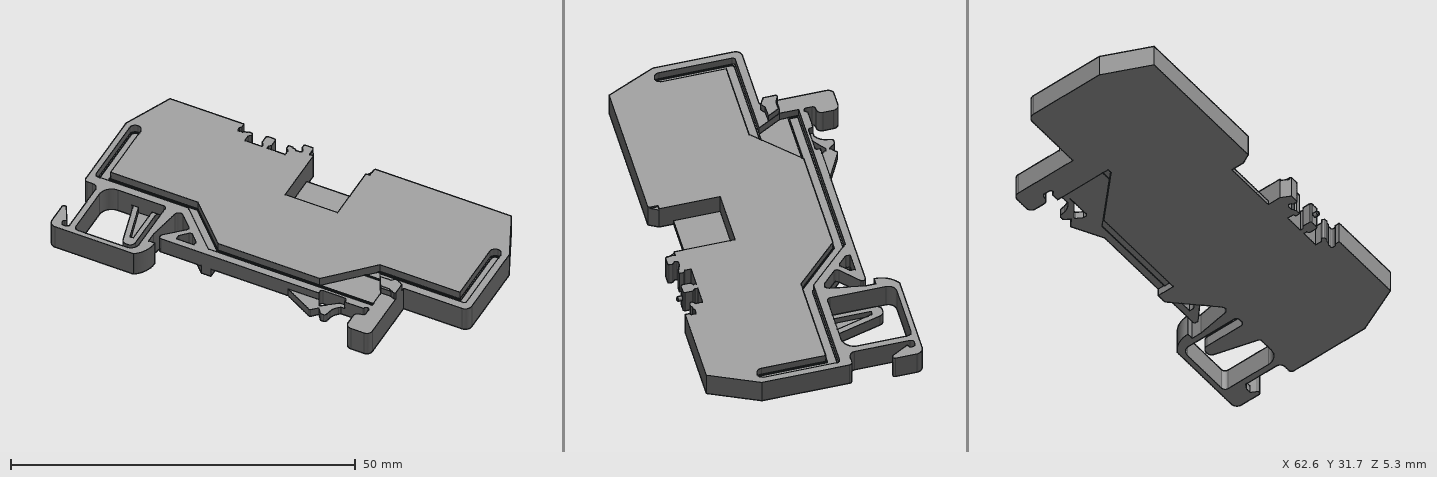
import cadquery as cq
import math


LENGTH = 62.6
HEIGHT = 31.65
TOTAL_Z = 5.3
BODY_Z = 4.1
THIN_BACK_Z = 1.45
THIN_FRONT_Z = 2.8
POCKET_Z = 2.7
GROOVE_Z = 2.65
RIB_Z = 1.32
SHELF_Z = 0.8
PRONG_Z = BODY_Z / 2
PRONG_FLOOR_Z = 1.0
TAB_BEVEL = 0.2
HOOK_WEB_Z = 1.4

OVERRUN = 1.0
OVERLAP = 0.1

BODY_LEFT = 0.45
SHOULDER_Y = 24.2
CORNER_RUN = 3.4
FLANGE_Y = 11.0
BAR_Y = 4.6
FOOT_WALL_X = 2.75
POST_LEFT = 49.55
POST_RIGHT = 52.05

GROOVE_TOP = 24.45
GROOVE_LEFT = 1.35
GROOVE_RIGHT = LENGTH - 1.1
GROOVE_ARM = 1.75
GROOVE_HIGH = (12.2, 13.9)
GROOVE_LOW = (5.75, 7.4)
GROOVE_DIAGONAL_SUMS = (28.75, 31.15)
GROOVE_LEDGE = 0.2
END_FLAT = 0.03

RECESS_LEFT = 27.85
RECESS_RIGHT = 36.35
RECESS_FLOOR_Y = 21.0
SHELF_EDGE_Y = 28.0
RECESS_FLARE_Y = 30.15
RECESS_FLARE = 0.8
MOUTH_LEDGE_WIDTH = 0.65
MOUTH_LEDGE_DEPTH = 0.3

LABEL_NOTCH_DEPTH = 3.05
PIN_X = 20.68
PIN_SHOULDER_Y = 30.85
PIN_TIP_RADIUS = 0.36

FOOT_DIAGONAL_SUM = 27.05
BACK_SPACE = (24.0, 47.5)
RIGHT_DIAGONAL_DIFFERENCE = 32.85


def outline(corners):
    """Closed wire through (x, y) corners; a third value rounds that corner."""
    sections = []
    count = len(corners)
    for i, corner in enumerate(corners):
        here = cq.Vector(corner[0], corner[1])
        radius = corner[2] if len(corner) > 2 else 0
        if not radius:
            sections.append((here,))
            continue
        before = cq.Vector(*corners[i - 1][:2])
        after = cq.Vector(*corners[(i + 1) % count][:2])
        to_before = (before - here).normalized()
        to_after = (after - here).normalized()
        half_angle = to_before.getAngle(to_after) / 2
        setback = radius / math.tan(half_angle)
        bisector = (to_before + to_after).normalized()
        middle = here + bisector * (radius / math.sin(half_angle) - radius)
        sections.append((here + to_before * setback, middle, here + to_after * setback))

    path = cq.Workplane("XY").moveTo(*sections[0][-1].toTuple()[:2])
    for section in sections[1:] + sections[:1]:
        path = path.lineTo(*section[0].toTuple()[:2])
        if len(section) > 1:
            path = path.threePointArc(section[1].toTuple()[:2], section[2].toTuple()[:2])
    return path.close()


def prism(corners, bottom, top):
    """Solid between two Z levels over an outline."""
    return outline(corners).extrude(top - bottom).translate((0, 0, bottom))


def right_diagonal(y):
    """Point at height y on the right diagonal edge."""
    return RIGHT_DIAGONAL_DIFFERENCE + y, y


def foot_corners():
    """Hooked foot on the left, then the gap up to the bar."""
    return [
        (BODY_LEFT, 10.57, 0.5),
        (FOOT_WALL_X, 10.57, 0.9),
        (FOOT_WALL_X, 0.85, 0.5),
        (1.5, 0.85, 0.5),
        (1.5, 1.7, 0.25),
        (2.0, 1.95, 0.1),
        (0.55, 4.6, 0.3),
        (0, 4.6, 0.3),
        (0, 0, 1.05),
        (13.75, 0),
        (15.5, 1.2, 3.95),
        (15.5, 3.4),
        (14.5, 3.4),
        (14.5, 5.0),
        (15.6, 11.4, 0.65),
        (18.75, FOOT_DIAGONAL_SUM - 18.75, 0.5),
        (15.55, 5.3, 0.3),
        (15.55, BAR_Y, 0.35),
    ]


def post_corners():
    """Clamping post on the right, then the right-hand side of the body."""
    return [
        (48.75, BAR_Y, 0.1),
        (48.95, 5.0, 0.35),
        (POST_LEFT, 5.0, 0.35),
        (POST_LEFT, 3.4, 0.4),
        (48.1, 3.2, 0.8),
        (48.1, 0, 0.9),
        (POST_RIGHT, 0, 0.9),
        (POST_RIGHT, FLANGE_Y),
        (LENGTH, FLANGE_Y, 1.05),
        (LENGTH, SHOULDER_Y),
        (LENGTH - CORNER_RUN, HEIGHT),
    ]


def recess_mouth_corners():
    """Through opening above the shelf of the marker recess."""
    return [
        (RECESS_RIGHT + RECESS_FLARE, HEIGHT),
        (RECESS_RIGHT, RECESS_FLARE_Y),
        (RECESS_RIGHT, SHELF_EDGE_Y),
        (RECESS_LEFT, SHELF_EDGE_Y),
        (RECESS_LEFT, RECESS_FLARE_Y),
        (RECESS_LEFT - RECESS_FLARE, HEIGHT),
    ]


def label_holder_corners():
    """Snap-in notch in the upper edge, with a pin standing on its floor."""
    floor = HEIGHT - LABEL_NOTCH_DEPTH
    right_lips = [
        (25.65, HEIGHT, 0.15),
        (25.6, 30.95, 0.1),
        (26.05, 30.55, 0.25),
        (25.85, 30.05, 0.25),
        (25.05, 30.05),
        (24.9, 30.27),
        (24.55, 30.27),
        (24.4, 30.48),
        (23.65, 30.48),
        (23.65, 29.75),
        (24.05, 29.6, 0.1),
        (24.05, floor),
    ]
    pin_half = [
        (0.42, floor),
        (0.42, 29.05),
        (0.78, 29.4),
        (0.78, 30.65),
        (0.6, PIN_SHOULDER_Y),
    ]
    pin = [(PIN_X + dx, y) for dx, y in pin_half]
    pin += [(PIN_X - dx, y) for dx, y in reversed(pin_half)]
    left_lips = [
        (17.5, floor),
        (17.5, 29.65, 0.1),
        (18.0, 30.1, 0.15),
        (17.75, 30.48, 0.15),
        (17.2, 30.48),
        (16.95, 30.27),
        (16.6, 30.27),
        (16.4, 30.05),
        (15.6, 30.05, 0.2),
        (15.6, 30.75),
        (15.87, 30.9),
        (15.87, HEIGHT),
    ]
    return right_lips + pin + left_lips


def body_blank():
    """Full-thickness housing plate with its through openings along the edge."""
    upper_left = [(BODY_LEFT + CORNER_RUN, HEIGHT), (BODY_LEFT, SHOULDER_Y)]
    corners = foot_corners() + post_corners() + recess_mouth_corners()
    return prism(corners + label_holder_corners() + upper_left, 0, BODY_Z)


def marker_recess():
    """Pocket above the shelf of the marker recess."""
    corners = [
        (RECESS_LEFT, RECESS_FLOOR_Y),
        (RECESS_RIGHT, RECESS_FLOOR_Y),
        (RECESS_RIGHT, SHELF_EDGE_Y),
        (RECESS_LEFT, SHELF_EDGE_Y),
    ]
    return prism(corners, SHELF_Z, BODY_Z)


def recess_mouth_ledges():
    """Shallow ledges on both flared sides of the recess mouth."""
    ledge_top = RECESS_FLARE_Y + MOUTH_LEDGE_WIDTH * (HEIGHT - RECESS_FLARE_Y) / RECESS_FLARE
    corners = [
        (RECESS_LEFT, RECESS_FLARE_Y),
        (RECESS_LEFT - MOUTH_LEDGE_WIDTH, ledge_top),
        (RECESS_LEFT - MOUTH_LEDGE_WIDTH, RECESS_FLARE_Y),
    ]
    left = prism(corners, BODY_Z - MOUTH_LEDGE_DEPTH, BODY_Z)
    return left.union(left.mirror("YZ", ((RECESS_LEFT + RECESS_RIGHT) / 2, 0, 0)))


def groove_corners(inset):
    """Front groove: two upright arms joined by level runs and a diagonal."""
    left = GROOVE_LEFT + inset
    left_inner = GROOVE_LEFT + GROOVE_ARM - inset
    right = GROOVE_RIGHT - inset
    right_inner = GROOVE_RIGHT - GROOVE_ARM + inset
    end_radius = GROOVE_ARM / 2 - inset - END_FLAT / 2
    high_low, high_high = GROOVE_HIGH[0] + inset, GROOVE_HIGH[1] - inset
    low_low, low_high = GROOVE_LOW[0] + inset, GROOVE_LOW[1] - inset
    top = GROOVE_TOP - inset
    outer_sum = GROOVE_DIAGONAL_SUMS[0] + inset
    inner_sum = GROOVE_DIAGONAL_SUMS[1] - inset
    left_part = [
        (left_inner, top, end_radius),
        (left, top, end_radius),
        (left, high_low, 0.6),
        (outer_sum - high_low, high_low),
        (outer_sum - low_low, low_low),
        (POST_LEFT - inset, low_low),
        (POST_LEFT - inset, low_high),
        (inner_sum - low_high, low_high),
        (inner_sum - high_high, high_high),
        (left_inner, high_high),
    ]
    right_part = [
        right_diagonal(high_low),
        (right, high_low, 0.4),
        (right, top, end_radius),
        (right_inner, top, end_radius),
        (right_inner, high_high),
        right_diagonal(high_high),
    ]
    return left_part, right_part


def front_groove():
    """Groove with a narrow ledge along both sides of its floor."""
    cut = cq.Workplane("XY")
    for inset, floor in ((0, THIN_FRONT_Z), (GROOVE_LEDGE, GROOVE_Z)):
        for corners in groove_corners(inset):
            cut = cut.union(prism(corners, floor, BODY_Z))
    return cut


def front_pocket():
    """Pocket between the two groove parts and the post."""
    corners = [
        right_diagonal(GROOVE_LOW[1]),
        (POST_LEFT, GROOVE_LOW[1]),
        (POST_LEFT, 8.6),
        (47.6, GROOVE_HIGH[0]),
        right_diagonal(GROOVE_HIGH[0]),
    ]
    return prism(corners, POCKET_Z, BODY_Z)


def back_clearance():
    """Spaces behind the thin plate: beside the foot and behind the bar."""
    below = BAR_Y - OVERRUN
    foot_side = [
        (16.8, FOOT_DIAGONAL_SUM - 16.8),
        (15.4, 8.5),
        (15.2, below),
        (FOOT_DIAGONAL_SUM - below, below),
    ]
    bar_side = [
        (BACK_SPACE[0], below),
        (BACK_SPACE[1], below),
        (BACK_SPACE[1], GROOVE_HIGH[1]),
        right_diagonal(GROOVE_HIGH[1]),
        right_diagonal(GROOVE_LOW[1]),
        (BACK_SPACE[0], GROOVE_LOW[1]),
    ]
    return prism(foot_side, 0, THIN_BACK_Z), prism(bar_side, 0, THIN_BACK_Z)


def foot_window():
    """Through window in the foot."""
    return prism([(3.7, FLANGE_Y, 2.0), (3.7, 0.8, 0.7), (13.6, 0.8, 1.3), (13.6, FLANGE_Y, 0.5)], 0, BODY_Z)


def triangle_hole():
    """Small through hole between the foot and the bar."""
    corners = [(17.9, 5.6), (20.75, 5.6), (20.75, 6.3, 0.2), (19.3, 7.75, 0.4), (17.9, 6.35, 0.2)]
    return prism(corners, 0, BODY_Z)


def clip_notch():
    """Notch in the bar that frees the spring clip."""
    left, right, top = 41.5, 45.7, 5.35
    below = BAR_Y - OVERRUN
    return prism([(left, below), (right, below), (right, top, 0.4), (left, top, 0.3)], 0, BODY_Z)


def prong():
    """Hollow V-shaped prong hanging into the foot window."""
    root = FLANGE_Y + OVERLAP
    corners = [
        (7.5, root),
        (7.5, FLANGE_Y),
        (8.2, FLANGE_Y, 0.4),
        (10.25, 3.3, 0.85),
        (12.0, 3.3, 0.85),
        (12.0, FLANGE_Y, 0.5),
        (12.6, FLANGE_Y),
        (12.6, root),
    ]
    body = prism(corners, 0, PRONG_Z)
    hollow = prism([(9.05, FLANGE_Y), (10.7, 4.95), (11.25, 4.95), (11.25, FLANGE_Y)], PRONG_FLOOR_Z, PRONG_Z)
    return body.cut(hollow)


def pin_tip():
    """Round bevelled tip on the end of the pin, at mid thickness."""
    length = HEIGHT - PIN_SHOULDER_Y
    tip = cq.Workplane("XZ").circle(PIN_TIP_RADIUS).extrude(-length).faces(">Y").chamfer(PIN_TIP_RADIUS / 2)
    return tip.translate((PIN_X, PIN_SHOULDER_Y, BODY_Z / 2))


def hook_web():
    """Thin web closing the back of the slot behind the hook."""
    right = FOOT_WALL_X + OVERLAP
    corners = [(0.9, 3.55), (1.0, 0.5), (right, 0.5), (right, 4.0), (FOOT_WALL_X, 4.0), (2.0, 3.55)]
    return prism(corners, 0, HOOK_WEB_Z)


def spring_clip():
    """Arrow-shaped clip below the bar, tied to it by a slanted arm."""
    corners = [
        (36.2, BAR_Y + OVERLAP),
        (36.5, BAR_Y),
        (41.3, 2.05, 0.2),
        (42.3, 3.05),
        (43.05, 2.05, 0.25),
        (43.85, 2.05, 0.4),
        (44.2, 3.85, 2.2),
        (45.1, BAR_Y),
        (45.8, BAR_Y),
        (45.8, 5.3, 0.3),
        (44.6, 5.3),
        (42.2, 3.45, 0.2),
        (41.5, BAR_Y),
        (41.5, BAR_Y + OVERLAP),
    ]
    return prism(corners, THIN_BACK_Z, THIN_FRONT_Z)


def latch_tab():
    """Raised tab at the head of the post, bevelled on the side facing the foot of the post."""
    corners = [
        (48.5, 10.55),
        (49.55, 8.65),
        (51.2, 8.65),
        (51.8, 8.35),
        (POST_RIGHT, 8.5),
        (POST_RIGHT, 10.45),
        (50.9, 11.1),
        (50.2, 10.6),
    ]
    return prism(corners, BODY_Z - OVERLAP, TOTAL_Z).faces(">Z").edges("|X").chamfer(TAB_BEVEL)


def back_ribs():
    """Low ribs on the back of the thin plate, on either side of the right diagonal."""
    low = [(BACK_SPACE[0], y) for y in GROOVE_LOW] + [right_diagonal(y) for y in reversed(GROOVE_LOW)]
    high = [(BACK_SPACE[1], y) for y in GROOVE_HIGH] + [right_diagonal(y) for y in reversed(GROOVE_HIGH)]
    return prism(low, RIB_Z, THIN_BACK_Z).union(prism(high, RIB_Z, THIN_BACK_Z))


def build():
    part = body_blank()
    for cut in (marker_recess(), recess_mouth_ledges(), foot_window(), triangle_hole(), clip_notch()):
        part = part.cut(cut)
    part = part.cut(front_groove()).cut(front_pocket())
    for cut in back_clearance():
        part = part.cut(cut)
    for piece in (prong(), pin_tip(), hook_web(), spring_clip(), latch_tab(), back_ribs()):
        part = part.union(piece)
    return part


result = build()